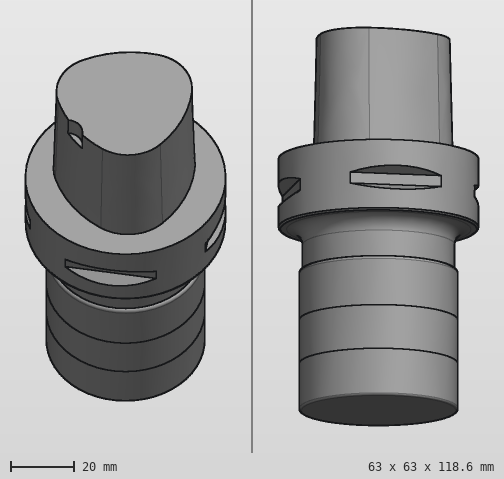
import cadquery as cq
import math


SHANK_LENGTH = 38.0
TAPER_PER_SIDE = 1 / 40
CORNER_REACH = 23.45
SIDE_REACH = 20.48
CORNER_RADIUS = 15.0

KEYWAY_RADIUS = 5.0
KEYWAY_DEPTH = 6.4
KEYWAY_FLOOR_REACH = 17.7

FLANGE_DIAMETER = 63.0
FLANGE_HEIGHT = 22.5
FLANGE_EDGE_CHAMFER = 0.6
GROOVE_COUNT = 4
GROOVE_FIRST_ANGLE = 45.0
GROOVE_CENTER_DROP = 12.0
GROOVE_DEPTH = 3.55
GROOVE_FLOOR_HEIGHT = 3.5
GROOVE_FLANK_ANGLE = 30.0

NECK_DIAMETER = 47.98
NECK_FILLET = 5.0
NECK_END_DROP = 35.8
SLEEVE_DIAMETER = 50.0
UPPER_JOINT_DROP = 51.7
LOWER_JOINT_DROP = 65.7
TOTAL_DROP = 80.6
UPPER_EDGE_RADIUS = 1.0
LOWER_EDGE_RADIUS = 0.7

FLANGE_RADIUS = FLANGE_DIAMETER / 2
NECK_RADIUS = NECK_DIAMETER / 2
CORNERS = 3
CORNER_STEP = 360 / CORNERS


def polar(radius, angle):
    """Point at a distance from the axis, with the angle in degrees from +X."""
    return (radius * math.cos(math.radians(angle)), radius * math.sin(math.radians(angle)))


def shank_outline():
    """Closed outline of six tangent arcs at the foot of the shank."""
    corner_center = CORNER_REACH - CORNER_RADIUS
    along = SIDE_REACH - corner_center * math.cos(math.radians(CORNER_STEP / 2))
    across = corner_center * math.sin(math.radians(CORNER_STEP / 2))
    side_radius = (across**2 + along**2 - CORNER_RADIUS**2) / (2 * (along - CORNER_RADIUS))
    side_center = side_radius - SIDE_REACH

    half_sweep = math.asin(across / (side_radius - CORNER_RADIUS))
    tangent_across = side_radius * math.sin(half_sweep)
    tangent_along = side_radius * math.cos(half_sweep) - side_center
    tangent_reach = math.hypot(tangent_across, tangent_along)
    tangent_angle = math.degrees(math.atan2(tangent_across, tangent_along))

    first_side = -90.0
    outline = cq.Workplane("XY").moveTo(*polar(tangent_reach, first_side - tangent_angle))
    for index in range(CORNERS):
        side = first_side + index * CORNER_STEP
        next_side = side + CORNER_STEP
        corner = side + CORNER_STEP / 2
        outline = outline.threePointArc(
            polar(SIDE_REACH, side),
            polar(tangent_reach, side + tangent_angle),
        )
        outline = outline.threePointArc(
            polar(CORNER_REACH, corner),
            polar(tangent_reach, next_side - tangent_angle),
        )
    return outline.close()


def shank():
    taper_angle = math.degrees(math.atan(TAPER_PER_SIDE))
    body = shank_outline().extrude(SHANK_LENGTH, taper=taper_angle)
    keyway = (
        cq.Workplane("XY", origin=(0, 0, SHANK_LENGTH - KEYWAY_DEPTH))
        .center(0, -(KEYWAY_FLOOR_REACH + KEYWAY_RADIUS))
        .circle(KEYWAY_RADIUS)
        .extrude(KEYWAY_DEPTH)
    )
    return body.cut(keyway)


def flange_and_neck():
    """Turned flange that blends through a concave fillet into the neck."""
    fillet_middle = NECK_FILLET * (1 - math.sqrt(0.5))
    return (
        cq.Workplane("XZ")
        .lineTo(FLANGE_RADIUS, 0)
        .lineTo(FLANGE_RADIUS, -(FLANGE_HEIGHT - FLANGE_EDGE_CHAMFER))
        .lineTo(FLANGE_RADIUS - FLANGE_EDGE_CHAMFER, -FLANGE_HEIGHT)
        .lineTo(NECK_RADIUS + NECK_FILLET, -FLANGE_HEIGHT)
        .threePointArc(
            (NECK_RADIUS + fillet_middle, -(FLANGE_HEIGHT + fillet_middle)),
            (NECK_RADIUS, -(FLANGE_HEIGHT + NECK_FILLET)),
        )
        .lineTo(NECK_RADIUS, -NECK_END_DROP)
        .lineTo(0, -NECK_END_DROP)
        .close()
        .revolve(360, (0, 0, 0), (0, 1, 0))
    )


def gripper_groove(angle):
    """Straight groove with a flat floor and sloping flanks, cut across the rim at an angle."""
    floor_half = GROOVE_FLOOR_HEIGHT / 2
    mouth_half = floor_half + GROOVE_DEPTH * math.tan(math.radians(GROOVE_FLANK_ANGLE))
    floor_reach = FLANGE_RADIUS - GROOVE_DEPTH
    return (
        cq.Workplane("XZ")
        .polyline([
            (floor_reach, floor_half),
            (FLANGE_RADIUS, mouth_half),
            (FLANGE_RADIUS, -mouth_half),
            (floor_reach, -floor_half),
        ])
        .close()
        .extrude(FLANGE_RADIUS, both=True)
        .translate((0, 0, -GROOVE_CENTER_DROP))
        .rotate((0, 0, 0), (0, 0, 1), angle)
    )


def make_adapter():
    body = flange_and_neck()
    for index in range(GROOVE_COUNT):
        body = body.cut(gripper_groove(GROOVE_FIRST_ANGLE + index * 360 / GROOVE_COUNT))
    return body.union(shank())


def make_sleeve(top_drop, bottom_drop):
    """Plain round section between two depths below the flange face."""
    return (
        cq.Workplane("XY", origin=(0, 0, -bottom_drop))
        .circle(SLEEVE_DIAMETER / 2)
        .extrude(bottom_drop - top_drop)
    )


adapter = make_adapter()
upper_sleeve = make_sleeve(NECK_END_DROP, UPPER_JOINT_DROP).faces(">Z").edges().fillet(UPPER_EDGE_RADIUS)
middle_sleeve = make_sleeve(UPPER_JOINT_DROP, LOWER_JOINT_DROP)
lower_sleeve = make_sleeve(LOWER_JOINT_DROP, TOTAL_DROP).faces("<Z").edges().fillet(LOWER_EDGE_RADIUS)

result = cq.Compound.makeCompound([
    adapter.val(),
    upper_sleeve.val(),
    middle_sleeve.val(),
    lower_sleeve.val(),
])